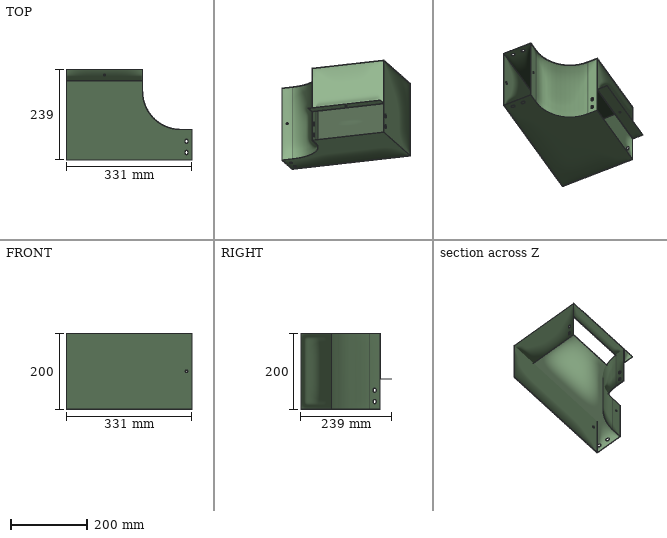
import cadquery as cq

length = 331.0
depth = 239.0
height = 200.0
sheet = 1.0

tab_reach = 29.0
back_y = depth - tab_reach
branch_width = 201.0
arm_depth = 81.0
bend_radius = 100.0

tab_top = 80.0

front_hole_diameter = 7.0
small_hole_diameter = 5.0
slot_width = 7.0
slot_length = 10.5
end_distance = 15.0
side_slot_distance = 15.5
slot_offsets = (20.2, 50.0)


def box(x_size, y_size, z_size, x=0, y=0, z=0):
    """Box with its lowest corner at (x, y, z)."""
    return cq.Workplane("XY").box(x_size, y_size, z_size, centered=False).translate((x, y, z))


def housing_outline(inset, block_height, z=0):
    """L-shaped block with its inner-corner side moved inward by inset."""
    inner_x = branch_width - inset
    inner_y = arm_depth - inset
    corner_radius = bend_radius + inset
    return (
        cq.Workplane("XY", origin=(0, 0, z))
        .moveTo(0, 0)
        .lineTo(length, 0)
        .lineTo(length, inner_y)
        .lineTo(branch_width + bend_radius, inner_y)
        .radiusArc((inner_x, arm_depth + bend_radius), corner_radius)
        .lineTo(inner_x, back_y - sheet)
        .lineTo(0, back_y - sheet)
        .close()
        .extrude(block_height)
    )


front_wall = box(length, sheet, height)
side_wall = box(sheet, back_y - sheet, height)
inner_wall = housing_outline(0, height).cut(housing_outline(sheet, height))
back_wall = box(branch_width, sheet, height - tab_top + sheet, y=back_y - sheet, z=tab_top - sheet)
tab = box(branch_width, tab_reach + sheet, sheet, y=back_y - sheet, z=tab_top - sheet)

result = housing_outline(0, sheet).union(housing_outline(0, sheet, height - sheet))
for wall in (front_wall, side_wall, inner_wall, back_wall, tab):
    result = result.union(wall)

plate_slots = (
    cq.Workplane("XY")
    .pushPoints([(length - end_distance, offset) for offset in slot_offsets])
    .slot2D(slot_length, slot_width, 90)
    .extrude(height)
)

side_slots = (
    cq.Workplane("YZ")
    .pushPoints([(back_y - side_slot_distance, offset) for offset in slot_offsets])
    .slot2D(slot_length, slot_width, 90)
    .extrude(branch_width)
)

front_hole = (
    cq.Workplane("XZ")
    .center(length - end_distance, height / 2)
    .circle(front_hole_diameter / 2)
    .extrude(-sheet)
)
inner_hole = (
    cq.Workplane("XZ", origin=(0, arm_depth, 0))
    .center(length - end_distance, height / 2)
    .circle(small_hole_diameter / 2)
    .extrude(sheet)
)
tab_hole = (
    cq.Workplane("XY", origin=(0, 0, tab_top - sheet))
    .center(branch_width / 2, depth - end_distance)
    .circle(small_hole_diameter / 2)
    .extrude(sheet)
)

for cutter in (plate_slots, side_slots, front_hole, inner_hole, tab_hole):
    result = result.cut(cutter)